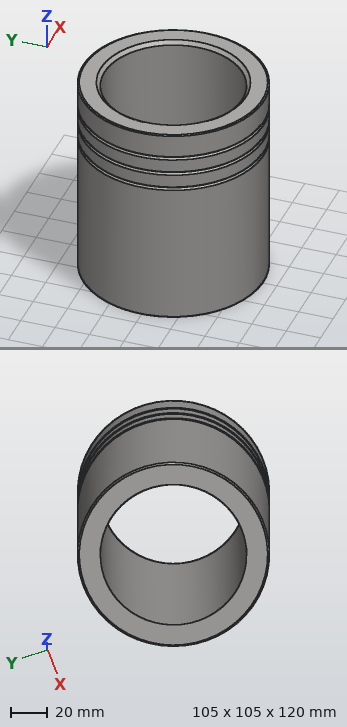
import cadquery as cq

height = 120.0
outer_radius = 105.0 / 2
bore_radius = 80.0 / 2

bore_chamfer = 2.2
bottom_chamfer = 1.0
top_chamfer_width = 1.0
top_chamfer_height = 0.5

groove_count = 3
first_groove_from_top = 15.0
groove_pitch = 10.0
groove_width = 2.2
groove_depth = 1.1


def make_sleeve():
    """Revolve the wall section, including its chamfered ends, about Z."""
    section = (
        cq.Workplane("XZ")
        .moveTo(bore_radius, 0)
        .lineTo(outer_radius - bottom_chamfer, 0)
        .lineTo(outer_radius, bottom_chamfer)
        .lineTo(outer_radius, height - top_chamfer_height)
        .lineTo(outer_radius - top_chamfer_width, height)
        .lineTo(bore_radius + bore_chamfer, height)
        .lineTo(bore_radius, height - bore_chamfer)
        .close()
    )
    return section.revolve(360, (0, 0, 0), (0, 1, 0))


def make_groove(center_z):
    """Ring with a triangular section that cuts one V groove."""
    section = (
        cq.Workplane("XZ")
        .moveTo(outer_radius, center_z - groove_width / 2)
        .lineTo(outer_radius, center_z + groove_width / 2)
        .lineTo(outer_radius - groove_depth, center_z)
        .close()
    )
    return section.revolve(360, (0, 0, 0), (0, 1, 0))


result = make_sleeve()
for index in range(groove_count):
    groove_z = height - first_groove_from_top - index * groove_pitch
    result = result.cut(make_groove(groove_z))